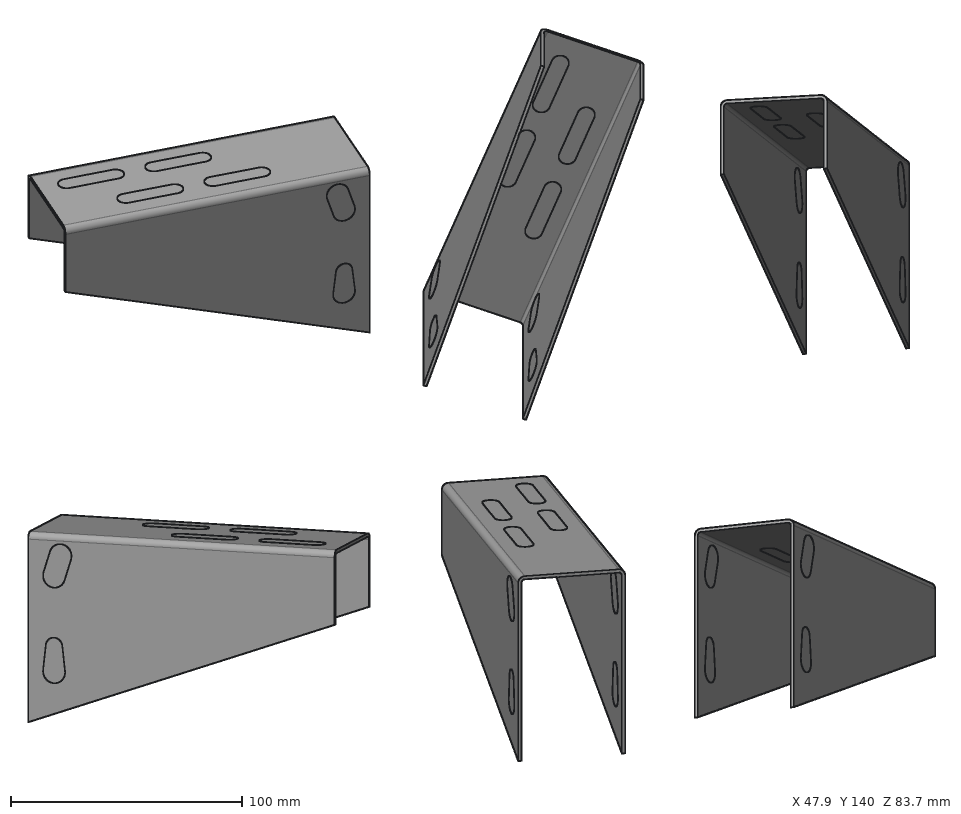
import cadquery as cq
import math

length = 140
width = 47.9
height = 83.7
front_height = 32.8
thickness = 1.5
bend_radius = 3.0

proud = 0.1
plug_depth = thickness + 2 * proud
sheet_width = width - 2 * proud

slot_length = 30.0
slot_width = 7.5
row_offset = 10.0
first_slot_y = 24.0
slot_pitch = 20.0
slot_count = 4

side_radius = 5.0
keyhole_small_radius = 3.8
lower_inset = 11.9
upper_inset = 14.8
tilted_upper_depth = 9.5
tilted_lower_depth = 18.8
keyhole_small_depth = 49.5
keyhole_large_depth = 60.8

top = -proud
back_y = length / 2
front_y = -length / 2


def make_channel():
    """Bent U-shaped sheet whose side walls taper towards the front."""
    sheet_height = height - proud
    outer = (
        cq.Workplane("XY")
        .box(sheet_width, length, sheet_height)
        .translate((0, 0, top - sheet_height / 2))
        .edges("|Y and >Z")
        .fillet(bend_radius)
    )
    inner = (
        cq.Workplane("XY")
        .box(sheet_width - 2 * thickness, length, sheet_height)
        .translate((0, 0, top - thickness - sheet_height / 2))
        .edges("|Y and >Z")
        .fillet(bend_radius - thickness)
    )
    side_profile = (
        cq.Workplane("YZ")
        .polyline([(front_y, 0), (back_y, 0), (back_y, -height), (front_y, -front_height)])
        .close()
        .extrude(sheet_width / 2, both=True)
    )
    return outer.cut(inner).intersect(side_profile)


def make_top_plug(index):
    """Straight slot plug in the web; even ones lie left, odd ones right."""
    x = -row_offset if index % 2 == 0 else row_offset
    y = front_y + first_slot_y + index * slot_pitch
    return (
        cq.Workplane("XY", origin=(x, y, top - thickness - proud))
        .slot2D(slot_length, slot_width, 90)
        .extrude(plug_depth)
    )


def tapered_slot(upper, upper_radius, lower, lower_radius, start_x):
    """Plug bounded by two end circles and their common tangents."""
    dy = upper[0] - lower[0]
    dz = upper[1] - lower[1]
    axis_angle = math.atan2(dz, dy)
    tangent_angle = math.acos((lower_radius - upper_radius) / math.hypot(dy, dz))

    def on_circle(center, radius, angle):
        return (center[0] + radius * math.cos(angle), center[1] + radius * math.sin(angle))

    right = axis_angle - tangent_angle
    left = axis_angle + tangent_angle
    return (
        cq.Workplane("YZ", origin=(start_x, 0, 0))
        .moveTo(*on_circle(lower, lower_radius, right))
        .lineTo(*on_circle(upper, upper_radius, right))
        .threePointArc(
            on_circle(upper, upper_radius, axis_angle),
            on_circle(upper, upper_radius, left),
        )
        .lineTo(*on_circle(lower, lower_radius, left))
        .threePointArc(
            on_circle(lower, lower_radius, axis_angle + math.pi),
            on_circle(lower, lower_radius, right),
        )
        .close()
        .extrude(plug_depth)
    )


def make_side_plugs(start_x):
    """Tilted slot and keyhole plugs of one side wall."""
    tilted = tapered_slot(
        (back_y - upper_inset, -tilted_upper_depth),
        side_radius,
        (back_y - lower_inset, -tilted_lower_depth),
        side_radius,
        start_x,
    )
    keyhole = tapered_slot(
        (back_y - lower_inset, -keyhole_small_depth),
        keyhole_small_radius,
        (back_y - lower_inset, -keyhole_large_depth),
        side_radius,
        start_x,
    )
    return tilted.union(keyhole)


result = make_channel()
for slot_index in range(slot_count):
    result = result.union(make_top_plug(slot_index))
for wall_start in (-width / 2, width / 2 - plug_depth):
    result = result.union(make_side_plugs(wall_start))